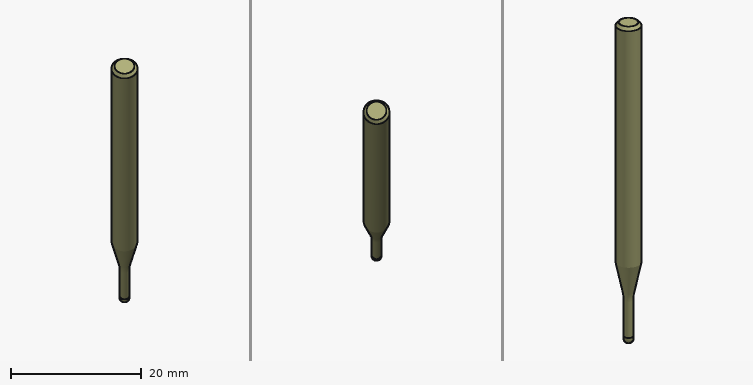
import cadquery as cq
import math

total_length = 55.0
shank_radius = 4.0 / 2
chamfer_height = 0.55
chamfer_inset = 0.5

head_radius = 1.6 / 2
head_length = 1.2

neck_radius = 1.55 / 2
neck_top = 7.4

blend_radius = 6.0
cone_half_angle = math.radians(12)


def blend_point(angle):
    """Radius and height on the blend arc after turning by angle away from the neck."""
    radius = neck_radius + blend_radius * (1 - math.cos(angle))
    height = neck_top + blend_radius * math.sin(angle)
    return radius, height


cone_bottom_radius, cone_bottom = blend_point(cone_half_angle)
cone_height = (shank_radius - cone_bottom_radius) / math.tan(cone_half_angle)
shank_bottom = cone_bottom + cone_height


def revolve_about_z(profile):
    """Turn a closed radius-height profile into a solid around the Z axis."""
    return profile.revolve(360, (0, 0, 0), (0, 1, 0))


def make_cutting_head():
    """Hemispherical tip with a short cylindrical land."""
    arc_mid_radius = head_radius * math.sin(math.pi / 4)
    arc_mid_height = head_radius * (1 - math.cos(math.pi / 4))
    profile = (
        cq.Workplane("XZ")
        .moveTo(0, 0)
        .threePointArc((arc_mid_radius, arc_mid_height), (head_radius, head_radius))
        .lineTo(head_radius, head_length)
        .lineTo(0, head_length)
        .close()
    )
    return revolve_about_z(profile)


def make_shank():
    """Neck, blend, cone and chamfered cylindrical shank, starting on the head's top face."""
    profile = (
        cq.Workplane("XZ")
        .moveTo(0, head_length)
        .lineTo(neck_radius, head_length)
        .lineTo(neck_radius, neck_top)
        .threePointArc(blend_point(cone_half_angle / 2), (cone_bottom_radius, cone_bottom))
        .lineTo(shank_radius, shank_bottom)
        .lineTo(shank_radius, total_length - chamfer_height)
        .lineTo(shank_radius - chamfer_inset, total_length)
        .lineTo(0, total_length)
        .close()
    )
    return revolve_about_z(profile)


cutting_head = make_cutting_head()
shank = make_shank()

result = cq.Compound.makeCompound([cutting_head.val(), shank.val()])